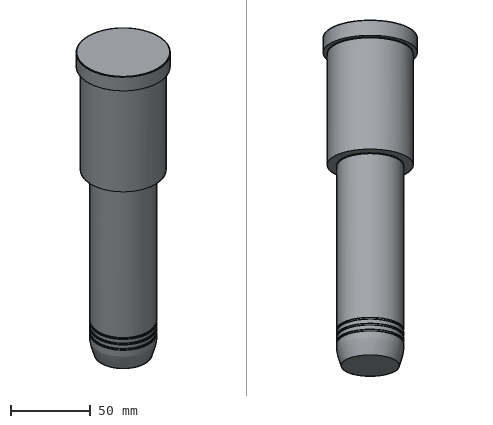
import cadquery as cq

total_length = 221.0
head_diameter = 59.0
body_diameter = 54.0
pin_diameter = 42.0
tip_diameter = 36.5

head_height = 10.4
body_length = 75.5
tip_height = 10.4
tip_bulge = 0.33
head_chamfer = 0.5

relief_width = 0.7
relief_depth = 0.2

groove_count = 3
groove_width = 1.0
groove_depth = 0.5
groove_pitch = 4.0
lowest_groove_z = 15.7

head_radius = head_diameter / 2
body_radius = body_diameter / 2
pin_radius = pin_diameter / 2
tip_radius = tip_diameter / 2
head_bottom_z = total_length - head_height
body_bottom_z = head_bottom_z - body_length


def stepped_pin():
    """Revolve the half outline of the pin, rounded towards its tip, about Z."""
    tip_middle = ((tip_radius + pin_radius) / 2 + tip_bulge, tip_height / 2)
    outline = (
        cq.Workplane("XZ")
        .lineTo(tip_radius, 0)
        .threePointArc(tip_middle, (pin_radius, tip_height))
        .lineTo(pin_radius, body_bottom_z)
        .lineTo(body_radius, body_bottom_z)
        .lineTo(body_radius, head_bottom_z)
        .lineTo(head_radius, head_bottom_z)
        .lineTo(head_radius, total_length - head_chamfer)
        .lineTo(head_radius - head_chamfer, total_length)
        .lineTo(0, total_length)
        .close()
    )
    return outline.revolve(360, (0, 0, 0), (0, 1, 0))


def ring_cutter(outer_radius, depth, bottom_z, width):
    """Ring that cuts a square groove into a cylinder of the given radius."""
    return (
        cq.Workplane("XY", origin=(0, 0, bottom_z))
        .circle(outer_radius)
        .circle(outer_radius - depth)
        .extrude(width)
    )


result = stepped_pin()

for shoulder_z, radius in ((head_bottom_z, body_radius), (body_bottom_z, pin_radius)):
    result = result.cut(ring_cutter(radius, relief_depth, shoulder_z - relief_width, relief_width))

for index in range(groove_count):
    groove_center_z = lowest_groove_z + index * groove_pitch
    groove_bottom_z = groove_center_z - groove_width / 2
    result = result.cut(ring_cutter(pin_radius, groove_depth, groove_bottom_z, groove_width))